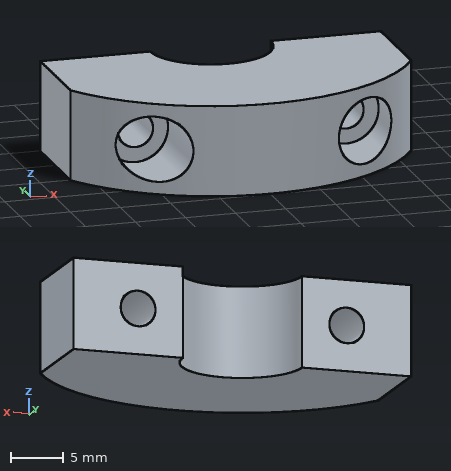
import cadquery as cq
import math

width = 34.0
thickness = 9.0
outer_radius = 19.75
bore_diameter = 12.0

screw_spacing = 21.0
screw_diameter = 3.5
counterbore_diameter = 6.5
counterbore_floor_y = -10.0

half_width = width / 2
flat_end_y = -math.sqrt(outer_radius**2 - half_width**2)


def clamp_body():
    """Half disc with trimmed sides and a half-round bore."""
    body = (
        cq.Workplane("XY")
        .moveTo(-half_width, 0)
        .lineTo(-half_width, flat_end_y)
        .threePointArc((0, -outer_radius), (half_width, flat_end_y))
        .lineTo(half_width, 0)
        .close()
        .extrude(thickness)
    )
    bore = cq.Workplane("XY").circle(bore_diameter / 2).extrude(thickness)
    return body.cut(bore)


def cylinder_toward_front(x, diameter, start_y):
    """Cylinder along -Y from start_y to the outermost point of the arc."""
    return (
        cq.Workplane("XZ", origin=(x, start_y, thickness / 2))
        .circle(diameter / 2)
        .extrude(outer_radius + start_y)
    )


result = clamp_body()
for screw_x in (-screw_spacing / 2, screw_spacing / 2):
    result = result.cut(cylinder_toward_front(screw_x, screw_diameter, 0))
    result = result.cut(cylinder_toward_front(screw_x, counterbore_diameter, counterbore_floor_y))